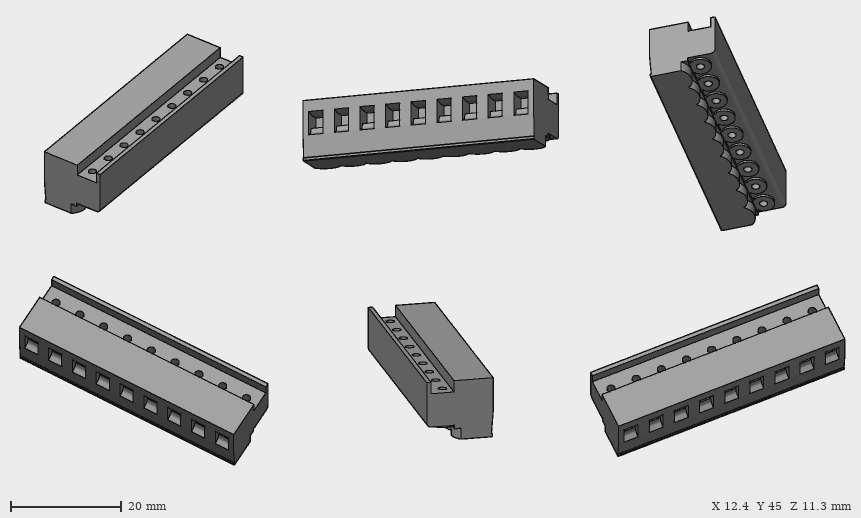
import cadquery as cq
import math


width = 12.4
length = 45.0
height = 11.3

pole_count = 9
pole_pitch = length / pole_count

channel_start_x = 7.35
channel_wall = 0.8
channel_depth = 2.15

underside_z = height - 8.55
outer_corner_radius = 0.8
foot_width = 7.2

taper_top_z = height - 6.52
taper_inset = 0.3
lip_top_z = 0.55
lip_underside_step = 0.15
lip_inset = 0.15
lip_chamfer = 0.15

lobe_height = height - 9.22
lobe_root_x = 6.0
lobe_back_x = 2.7

hole_x = 8.9
hole_diameter = 1.5
boss_radius = 2.02
boss_height = 0.45
boss_flat_x = 7.5

entry_width = 2.75
entry_depth = 3.6
entry_top_z = height - 2.15
ceiling_drop = 0.4
ceiling_run = 1.85
ramp_run = 0.8
ramp_rise = 0.4
blend_run = 0.25
blend_rise = 0.4
blend_end_angle = math.radians(14)
riser_rise = 0.68
riser_run = riser_rise * math.tan(blend_end_angle)

pole_positions = [(i - (pole_count - 1) / 2) * pole_pitch for i in range(pole_count)]


def extrude_along_y(profile, y_center, extent):
    """Extrude a closed XZ profile symmetrically about y_center."""
    return profile.extrude(extent / 2, both=True).translate((0, y_center, 0))


def make_housing():
    """Constant cross-section of the housing, with the foot reaching only to the lobe roots."""
    channel_floor_z = height - channel_depth
    channel_end_x = width - channel_wall
    corner_mid = outer_corner_radius * (1 - math.sqrt(0.5))
    profile = (
        cq.Workplane("XZ")
        .moveTo(0, height)
        .lineTo(channel_start_x, height)
        .lineTo(channel_start_x, channel_floor_z)
        .lineTo(channel_end_x, channel_floor_z)
        .lineTo(channel_end_x, height)
        .lineTo(width, height)
        .lineTo(width, underside_z + outer_corner_radius)
        .threePointArc(
            (width - corner_mid, underside_z + corner_mid),
            (width - outer_corner_radius, underside_z),
        )
        .lineTo(foot_width, underside_z)
        .lineTo(foot_width, lobe_height)
        .lineTo(lobe_root_x, lobe_height)
        .lineTo(lobe_root_x, 0)
        .lineTo(lip_inset + lip_chamfer, 0)
        .lineTo(lip_inset, lip_chamfer)
        .lineTo(lip_inset, lip_top_z)
        .lineTo(taper_inset, lip_top_z + lip_underside_step)
        .lineTo(0, taper_top_z)
        .close()
    )
    return extrude_along_y(profile, 0, length)


def make_lobes():
    """Row of arcs that meet midway between the poles, backed by a strip inside the foot."""
    outline = (
        cq.Workplane("XY")
        .moveTo(lobe_back_x, -length / 2)
        .lineTo(lobe_root_x, -length / 2)
    )
    for y in pole_positions:
        outline = outline.threePointArc((foot_width, y), (lobe_root_x, y + pole_pitch / 2))
    return outline.lineTo(lobe_back_x, length / 2).close().extrude(lobe_height)


def make_boss(y):
    """Shallow round boss around a hole, cut flat and joined to the foot by a neck."""
    boss_bottom_z = underside_z - boss_height
    half_flat = math.sqrt(boss_radius**2 - (hole_x - boss_flat_x) ** 2)
    plane = cq.Workplane("XY", origin=(0, y, boss_bottom_z))
    boss = (
        plane.moveTo(boss_flat_x, -half_flat)
        .threePointArc((hole_x + boss_radius, 0), (boss_flat_x, half_flat))
        .lineTo(foot_width, half_flat)
        .lineTo(foot_width, -half_flat)
        .close()
    )
    return boss.extrude(boss_height)


def make_hole(y):
    """Vertical through hole at one pole."""
    return cq.Workplane("XY").center(hole_x, y).circle(hole_diameter / 2).extrude(height)


def make_wire_entry(y):
    """Rectangular pocket with a falling ceiling and a ramped, blended floor."""
    ceiling_z = entry_top_z - ceiling_drop
    ramp_end = (ramp_run, taper_top_z + ramp_rise)
    blend_end = (ramp_end[0] + blend_run, ramp_end[1] + blend_rise)
    floor_start = (blend_end[0] + riser_run, blend_end[1] + riser_rise)
    profile = (
        cq.Workplane("XZ")
        .moveTo(0, entry_top_z)
        .lineTo(ceiling_run, ceiling_z)
        .lineTo(entry_depth, ceiling_z)
        .lineTo(entry_depth, floor_start[1])
        .lineTo(*floor_start)
        .lineTo(*blend_end)
        .tangentArcPoint(ramp_end, relative=False)
        .lineTo(0, taper_top_z)
        .close()
    )
    return extrude_along_y(profile, y, entry_width)


result = make_housing().union(make_lobes())
for pole_y in pole_positions:
    result = result.union(make_boss(pole_y))
for pole_y in pole_positions:
    result = result.cut(make_hole(pole_y)).cut(make_wire_entry(pole_y))